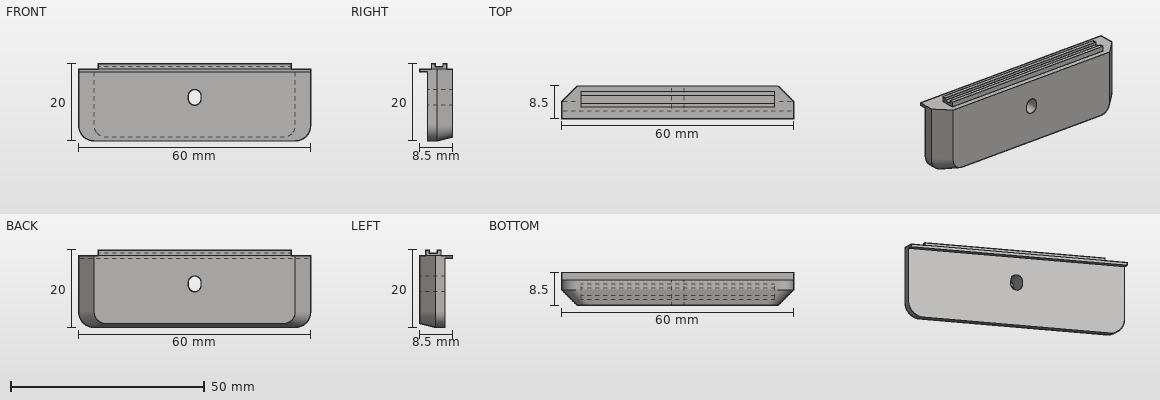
import cadquery as cq

length = 60.0
depth = 8.5
height = 20.0

lip_depth = 2.0
lip_thickness = 0.7
taper_depth = 4.0
end_inset = 4.0
bottom_rise = 1.0
front_corner_radius = 4.0
back_corner_radius = 3.0

rail_length = 50.0
rail_width = 4.0
rail_height = 1.4
rail_back_gap = 1.5
groove_width = 2.0
groove_depth = 0.7

slot_width = 3.25
slot_height = 4.0
slot_drop = 7.3

body_top = height - rail_height
taper_start = depth - taper_depth
plate_depth = taper_start - lip_depth


def draw_outline(plane, half_length, bottom, radius):
    """Upright outline with square top corners and rounded bottom corners."""
    bend = radius * (1 - 0.5 ** 0.5)
    return (
        plane.moveTo(-half_length, body_top)
        .lineTo(-half_length, bottom + radius)
        .threePointArc((-half_length + bend, bottom + bend), (-half_length + radius, bottom))
        .lineTo(half_length - radius, bottom)
        .threePointArc((half_length - bend, bottom + bend), (half_length, bottom + radius))
        .lineTo(half_length, body_top)
        .close()
    )


def make_plate():
    plane = cq.Workplane("XZ", origin=(0, lip_depth, 0))
    return draw_outline(plane, length / 2, 0, front_corner_radius).extrude(-plate_depth)


def make_tapered_back():
    plane = cq.Workplane("XZ", origin=(0, taper_start, 0))
    front = draw_outline(plane, length / 2, 0, front_corner_radius)
    back_plane = front.workplane(offset=-taper_depth)
    back = draw_outline(back_plane, length / 2 - end_inset, bottom_rise, back_corner_radius)
    return back.loft(ruled=True, combine=True)


def make_lip():
    return cq.Workplane("XY", origin=(0, 0, body_top - lip_thickness)).box(
        length, taper_start, lip_thickness, centered=(True, False, False)
    )


def make_rail():
    centre_y = depth - rail_back_gap - rail_width / 2
    rail = cq.Workplane("XY", origin=(0, centre_y, body_top)).box(
        rail_length, rail_width, rail_height, centered=(True, True, False)
    )
    groove = cq.Workplane("XY", origin=(0, centre_y, height - groove_depth)).box(
        rail_length, groove_width, groove_depth, centered=(True, True, False)
    )
    return rail.cut(groove)


def make_slot():
    return (
        cq.Workplane("XZ", origin=(0, 0, body_top - slot_drop))
        .slot2D(slot_height, slot_width, 90)
        .extrude(-depth)
    )


result = make_plate().union(make_tapered_back()).union(make_lip()).union(make_rail()).cut(make_slot())